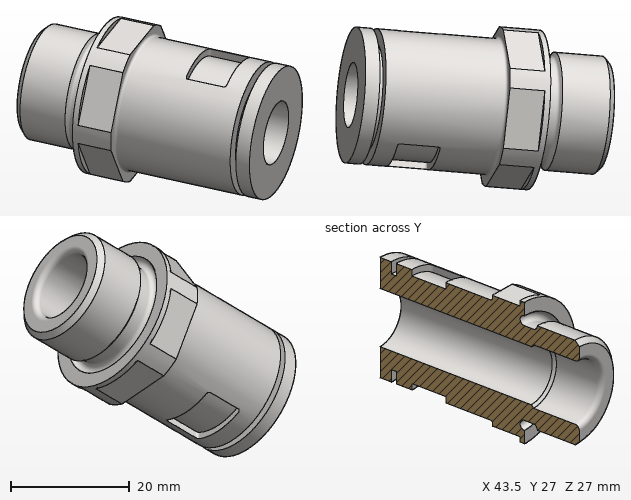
import cadquery as cq
import math

total_length = 43.5
thread_diameter = 20.0
thread_chamfer = 0.95
thread_end = 9.2
neck_diameter = 18.15
runout_angle = 65.0
neck_fillet = 0.55

collar_diameter = 27.0
collar_start = 12.0
collar_rim = 1.0
collar_end = 19.0
width_across_flats = 24.95
flat_count = 6

recess_diameter = 21.85

barrel_diameter = 23.0
barrel_fillet = 0.5
ring_gap_diameter = 18.3
ring_gap_start = 39.98
ring_gap_end = 41.0

entry_diameter = 12.0
entry_radius = 1.0
entry_depth = 10.0
bore_diameter = 11.0

pocket_start = 29.2
pocket_end = 36.55
pocket_width = 10.5
pocket_floor_diameter = 20.58
pocket_corner_radius = 0.5


def cylinder(diameter, start, end):
    return cq.Workplane("YZ").workplane(offset=start).circle(diameter / 2).extrude(end - start)


def threaded_end():
    """Plain thread envelope, chamfered at the mouth then sloping and blending into the neck."""
    thread_radius = thread_diameter / 2
    neck_radius = neck_diameter / 2
    slope = math.radians(runout_angle)
    fillet_start_radius = neck_radius + neck_fillet * (1 - math.cos(slope))
    fillet_start = thread_end + (thread_radius - fillet_start_radius) / math.tan(slope)
    neck_start = fillet_start + neck_fillet * math.sin(slope)
    return (
        cq.Workplane("XY")
        .moveTo(0, 0)
        .lineTo(0, thread_radius - thread_chamfer)
        .lineTo(thread_chamfer, thread_radius)
        .lineTo(thread_end, thread_radius)
        .lineTo(fillet_start, fillet_start_radius)
        .tangentArcPoint((neck_start, neck_radius), relative=False)
        .lineTo(collar_start, neck_radius)
        .lineTo(collar_start, 0)
        .close()
        .revolve(360, (0, 0, 0), (1, 0, 0))
    )


def collar():
    """Round collar whose flats stop at a full round rim."""
    rim_end = collar_start + collar_rim
    rim = cylinder(collar_diameter, collar_start, rim_end)
    corner_diameter = width_across_flats / math.cos(math.pi / flat_count)
    hexagon = (
        cq.Workplane("YZ")
        .workplane(offset=rim_end)
        .polygon(flat_count, corner_diameter)
        .extrude(collar_end - rim_end)
    )
    return rim.union(hexagon.intersect(cylinder(collar_diameter, rim_end, collar_end)))


def sealing_recess():
    """Half-round ring cut between the neck and the flat collar face."""
    inner = neck_diameter / 2
    outer = recess_diameter / 2
    middle = (inner + outer) / 2
    depth = (outer - inner) / 2
    return (
        cq.Workplane("XY")
        .moveTo(collar_start, inner)
        .threePointArc((collar_start + depth, middle), (collar_start, outer))
        .close()
        .revolve(360, (0, 0, 0), (1, 0, 0))
    )


def barrel():
    """Rear barrel with a small concave fillet where it leaves the collar."""
    radius = barrel_diameter / 2
    profile = (
        cq.Workplane("XY")
        .moveTo(collar_end, 0)
        .lineTo(collar_end, radius + barrel_fillet)
        .radiusArc((collar_end + barrel_fillet, radius), -barrel_fillet)
        .lineTo(total_length, radius)
        .lineTo(total_length, 0)
        .close()
    )
    return profile.revolve(360, (0, 0, 0), (1, 0, 0))


def ring_gap():
    """Groove separating the release ring from the barrel."""
    outer = cylinder(barrel_diameter, ring_gap_start, ring_gap_end)
    return outer.cut(cylinder(ring_gap_diameter, ring_gap_start, ring_gap_end))


def bore():
    """Through bore with a wider entry that has a rounded mouth and a 45 degree shoulder."""
    radius = entry_diameter / 2
    bore_radius = bore_diameter / 2
    taper_end = entry_depth + radius - bore_radius
    entry = (
        cq.Workplane("XY")
        .moveTo(0, 0)
        .lineTo(0, radius + entry_radius)
        .radiusArc((entry_radius, radius), -entry_radius)
        .lineTo(entry_depth, radius)
        .lineTo(taper_end, bore_radius)
        .lineTo(taper_end, 0)
        .close()
        .revolve(360, (0, 0, 0), (1, 0, 0))
    )
    return entry.union(cylinder(bore_diameter, 0, total_length))


def pockets():
    """Rounded rectangles through both sides, leaving a cylindrical floor."""
    window = (
        cq.Workplane("XY")
        .center((pocket_start + pocket_end) / 2, 0)
        .rect(pocket_end - pocket_start, pocket_width)
        .extrude(barrel_diameter, both=True)
        .edges("|Z")
        .fillet(pocket_corner_radius)
    )
    return window.cut(cylinder(pocket_floor_diameter, pocket_start, pocket_end))


result = threaded_end().union(collar()).union(barrel())
for cutter in (sealing_recess(), ring_gap(), pockets(), bore()):
    result = result.cut(cutter)